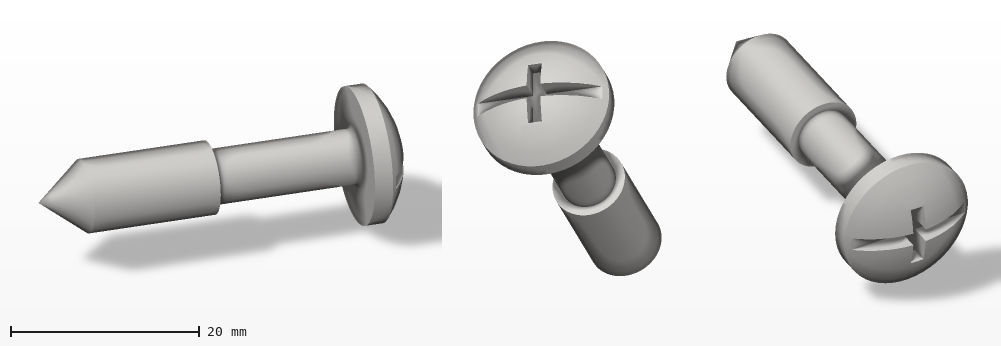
import cadquery as cq
import math

total_length = 39.97

head_radius = 15.0 / 2
rim_height = 2.0
dome_height = 3.0

shank_radius = 3.0
shank_length = 16.03
neck_fillet = 0.48
body_radius = 4.0
body_length = 14.0

slot_width = 1.5
slot_depth = 2.48
short_slot_length = 7.0

dome_radius = (head_radius**2 + dome_height**2) / (2 * dome_height)
corner_radius = slot_width / math.sqrt(2)
corner_drop = dome_radius - math.sqrt(dome_radius**2 - corner_radius**2)

apex_y = rim_height + dome_height
dome_center_y = apex_y - dome_radius
head_top_y = apex_y - corner_drop
tip_y = head_top_y - total_length
body_top_y = -shank_length
body_bottom_y = body_top_y - body_length


def make_body():
    """Revolve the whole half profile about the Y axis."""
    mid_angle = math.asin(head_radius / dome_radius) / 2
    dome_mid = (
        dome_radius * math.sin(mid_angle),
        dome_center_y + dome_radius * math.cos(mid_angle),
    )
    fillet_mid = neck_fillet * (1 - math.sqrt(0.5))
    profile = (
        cq.Workplane("XY")
        .moveTo(0, tip_y)
        .lineTo(body_radius, body_bottom_y)
        .lineTo(body_radius, body_top_y)
        .lineTo(shank_radius, body_top_y)
        .lineTo(shank_radius, -neck_fillet)
        .threePointArc(
            (shank_radius + fillet_mid, -fillet_mid),
            (shank_radius + neck_fillet, 0),
        )
        .lineTo(head_radius, 0)
        .lineTo(head_radius, rim_height)
        .threePointArc(dome_mid, (0, apex_y))
        .close()
    )
    return profile.revolve(360, (0, 0, 0), (0, 1, 0))


def make_slot(size_x, size_z):
    """Box sunk from the dome apex down to the slot floor."""
    center_y = apex_y - slot_depth / 2
    return cq.Workplane("XY").box(size_x, slot_depth, size_z).translate((0, center_y, 0))


long_slot = make_slot(2 * head_radius, slot_width)
short_slot = make_slot(slot_width, short_slot_length)

result = make_body().cut(long_slot).cut(short_slot)